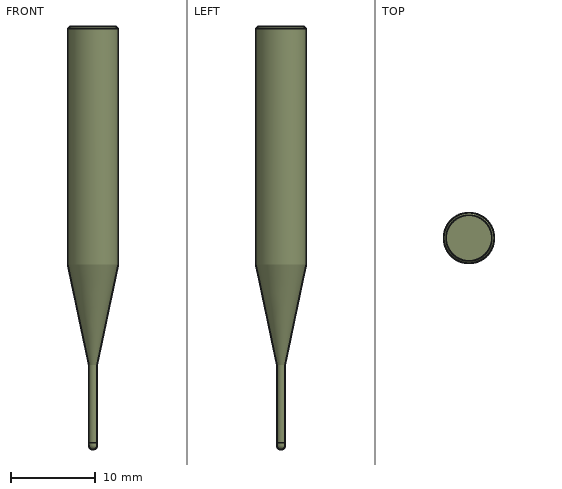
import cadquery as cq
import math

total_length = 50.0
shank_radius = 3.0
neck_radius = 0.5
ball_radius = 0.5
cutter_length = 0.8
neck_top = 10.0
taper_top = 21.85
chamfer_size = 0.3


def revolve_about_z(profile):
    """Turn a closed half profile (radius, height) about the Z axis."""
    return profile.revolve(360, (0, 0, 0), (0, 1, 0))


def make_shank():
    """Cylindrical shank with a chamfered end, a taper and a slender neck."""
    profile = (
        cq.Workplane("XZ")
        .moveTo(0, cutter_length)
        .lineTo(neck_radius, cutter_length)
        .lineTo(neck_radius, neck_top)
        .lineTo(shank_radius, taper_top)
        .lineTo(shank_radius, total_length - chamfer_size)
        .lineTo(shank_radius - chamfer_size, total_length)
        .lineTo(0, total_length)
        .close()
    )
    return revolve_about_z(profile)


def make_cutter():
    """Ball-nosed cutting tip that sits against the end of the neck."""
    arc_middle = ball_radius * math.sqrt(0.5)
    profile = (
        cq.Workplane("XZ")
        .moveTo(0, 0)
        .threePointArc((arc_middle, ball_radius - arc_middle), (ball_radius, ball_radius))
        .lineTo(ball_radius, cutter_length)
        .lineTo(0, cutter_length)
        .close()
    )
    return revolve_about_z(profile)


shank = make_shank()
cutter = make_cutter()

result = cq.Compound.makeCompound([shank.val(), cutter.val()])